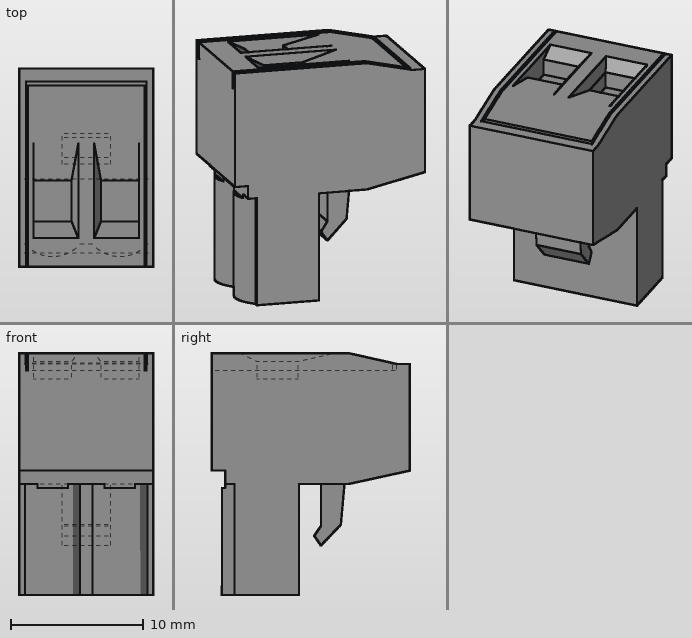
import cadquery as cq


WIDTH = 10.15
DEPTH = 15.0
HEIGHT = 18.29
HOUSING_BOTTOM = 8.4
LOWER_EDGE_Z = 9.4
LIP_DEPTH = 1.02
SHELF_Z = 17.49
SHELF_FRONT_Y = 14.0
SLOPE_FRONT_Y = 10.4

STEM_FRONT_Y = 1.72
STEM_BACK_Y = 6.62
POLE_PITCH = 5.08
RIB_WIDTH = 4.17
RIB_FRONT_Y = 0.77
RIB_TOP_Z = 8.1

RIM_THICKNESS = 0.51
SIDE_GROOVE_WIDTH = 0.15
BACK_GROOVE_WIDTH = 0.3
GROOVE_FLOOR_Z = 17.0

WINDOW_INNER_X = 0.6
WINDOW_OUTER_X = 3.99
WINDOW_FRONT_Y = 2.15
WINDOW_BACK_Y = 9.31
PIT_INNER_X = 1.12
PIT_FRONT_Y = 3.44
PIT_BACK_Y = 6.53
FUNNEL_DEPTH = 0.64
PIT_DEPTH = 1.3

LATCH_WIDTH = 3.65
LATCH_FRONT_Y = 8.27
LATCH_ROOT_BACK_Y = 10.06
LATCH_BEND_BACK_Y = 9.79
LATCH_BEND_BACK_Z = 5.32
LATCH_BARB_Y = 7.75
LATCH_BARB_Z = 4.48
LATCH_BARB_TOP_Z = 5.23
LATCH_TIP_Z = 3.73


def box(x_range, y_range, z_range):
    """Box spanning the given (low, high) ranges."""
    sizes = [high - low for low, high in (x_range, y_range, z_range)]
    corner = (x_range[0], y_range[0], z_range[0])
    return cq.Workplane("XY").box(*sizes, centered=False).translate(corner)


def side_extrusion(points, width):
    """Extrude a closed (Y, Z) outline symmetrically about X = 0."""
    return cq.Workplane("YZ").polyline(points).close().extrude(width / 2, both=True)


def housing():
    outline = [
        (0, HEIGHT),
        (SLOPE_FRONT_Y, HEIGHT),
        (SHELF_FRONT_Y, SHELF_Z),
        (DEPTH, SHELF_Z),
        (DEPTH, LOWER_EDGE_Z),
        (SLOPE_FRONT_Y, HOUSING_BOTTOM),
        (STEM_BACK_Y, HOUSING_BOTTOM),
        (STEM_BACK_Y, 0),
        (STEM_FRONT_Y, 0),
        (STEM_FRONT_Y, HOUSING_BOTTOM),
        (LIP_DEPTH, HOUSING_BOTTOM),
        (LIP_DEPTH, LOWER_EDGE_Z),
        (0, LOWER_EDGE_Z),
    ]
    return side_extrusion(outline, WIDTH)


def rib(center_x):
    """Rounded rib on the stem front, relieved at its top in front of the housing step."""
    body = (
        cq.Workplane("XY")
        .moveTo(center_x - RIB_WIDTH / 2, STEM_FRONT_Y)
        .threePointArc((center_x, RIB_FRONT_Y), (center_x + RIB_WIDTH / 2, STEM_FRONT_Y))
        .close()
        .extrude(HOUSING_BOTTOM)
    )
    relief = box(
        (center_x - RIB_WIDTH / 2, center_x + RIB_WIDTH / 2),
        (0, LIP_DEPTH),
        (RIB_TOP_Z, HOUSING_BOTTOM),
    )
    return body.cut(relief)


def latch():
    outline = [
        (LATCH_FRONT_Y, HOUSING_BOTTOM),
        (LATCH_ROOT_BACK_Y, HOUSING_BOTTOM),
        (LATCH_BEND_BACK_Y, LATCH_BEND_BACK_Z),
        (LATCH_FRONT_Y, LATCH_TIP_Z),
        (LATCH_BARB_Y, LATCH_BARB_Z),
        (LATCH_FRONT_Y, LATCH_BARB_TOP_Z),
    ]
    return side_extrusion(outline, LATCH_WIDTH)


def lid_groove():
    """U-shaped groove along both sides and the back of the lid, open at the front."""
    outer_x = WIDTH / 2 - RIM_THICKNESS
    lid_x = outer_x - SIDE_GROOVE_WIDTH
    z_range = (GROOVE_FLOOR_Z, HEIGHT)
    enclosed = box((-outer_x, outer_x), (0, SHELF_FRONT_Y), z_range)
    lid = box((-lid_x, lid_x), (0, SHELF_FRONT_Y - BACK_GROOVE_WIDTH), z_range)
    return enclosed.cut(lid)


def window():
    """Window on the +X side; its outer wall is vertical and the other three taper."""
    funnel_floor_z = HEIGHT - FUNNEL_DEPTH
    pit_size = (WINDOW_OUTER_X - PIT_INNER_X, PIT_BACK_Y - PIT_FRONT_Y)
    window_size = (WINDOW_OUTER_X - WINDOW_INNER_X, WINDOW_BACK_Y - WINDOW_FRONT_Y)
    funnel = (
        cq.Workplane("XY", origin=(PIT_INNER_X, PIT_FRONT_Y, funnel_floor_z))
        .rect(*pit_size, centered=False)
        .workplane(offset=FUNNEL_DEPTH, origin=(WINDOW_INNER_X, WINDOW_FRONT_Y, 0))
        .rect(*window_size, centered=False)
        .loft(ruled=True)
    )
    pit = box(
        (PIT_INNER_X, WINDOW_OUTER_X),
        (PIT_FRONT_Y, PIT_BACK_Y),
        (funnel_floor_z - PIT_DEPTH, funnel_floor_z),
    )
    return funnel.union(pit)


result = housing().union(latch())
for rib_x in (-POLE_PITCH / 2, POLE_PITCH / 2):
    result = result.union(rib(rib_x))
result = result.cut(lid_groove())
right_window = window()
result = result.cut(right_window).cut(right_window.mirror("YZ"))